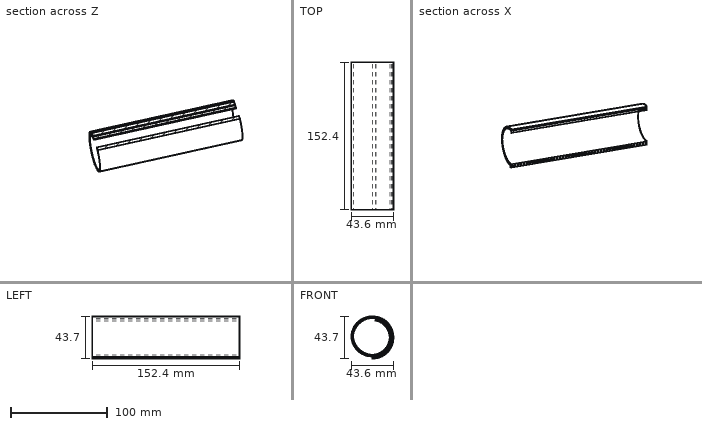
import cadquery as cq
import math

length = 152.4
outer_diameter = 43.7
sheet = 2.0
gap = 0.2
easing_height = 1.5
inner_end_angle = 80.0

outer_radius = outer_diameter / 2
step = sheet + gap
lap_radius = outer_radius - step


def polar(radius, degrees, center_z=0.0):
    """Point at a given radius and angle around a centre on the Z axis."""
    angle = math.radians(degrees)
    return (radius * math.cos(angle), center_z + radius * math.sin(angle))


def left_point(radius, height, center_z=0.0):
    """Left-hand point at a given height on a circle centred on the Z axis."""
    return (-math.sqrt(radius**2 - (height - center_z)**2), height)


def crease(radius):
    """Left-hand meeting point of two equal circles, one raised by the step."""
    return left_point(radius, step / 2)


outer_inside = outer_radius - sheet
lap_inside = lap_radius - sheet

easing_top = left_point(outer_radius, easing_height)
easing_middle = left_point(outer_radius, 0, step)
easing_bottom = left_point(outer_radius, -easing_height, step)

profile = (
    cq.Workplane("XZ", origin=(0, length / 2, 0))
    .moveTo(*polar(outer_radius, -90))
    .threePointArc(polar(outer_radius, 45), easing_top)
    .threePointArc(easing_middle, easing_bottom)
    .threePointArc(polar(outer_radius, 225, step), polar(lap_radius, -90))
    .threePointArc(polar(lap_radius, 0), polar(lap_radius, inner_end_angle))
    .lineTo(*polar(lap_inside, inner_end_angle))
    .threePointArc(polar(lap_inside, 0), polar(lap_inside, -90))
    .threePointArc(polar(outer_inside, 225, step), crease(outer_inside))
    .threePointArc(polar(outer_inside, 45), polar(outer_inside, -90))
    .close()
)

result = profile.extrude(length)